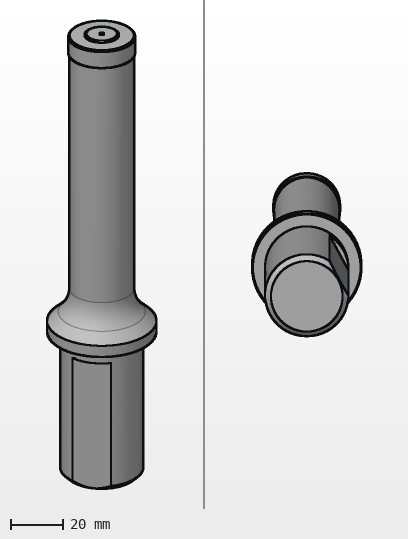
import cadquery as cq
import math

shank_diameter = 32.0
shank_radius = shank_diameter / 2
shank_chamfer = 2.3
flat_distance = 14.0
flat_top = 55.2

flange_diameter = 42.0
flange_radius = flange_diameter / 2
flange_bottom = 60.3
flange_chamfer = 0.4
flange_top = 65.4
neck_diameter = 25.0
neck_radius = neck_diameter / 2
flare_top = 79.5
flare_arc_radius = 14.4
flare_angle = math.radians(45)

total_height = 189.0
head_bottom = 180.7
head_diameter = 25.7
head_radius = head_diameter / 2
head_edge_chamfer = 0.5
boss_base_radius = 6.6
boss_top_radius = 5.9
boss_height = 0.5
face_drop = 0.2
centre_hole_radius = 1.0
centre_hole_depth = 0.2


def revolve_about_z(profile):
    """Turn a closed radius-height profile in the XZ plane around the Z axis."""
    return profile.close().revolve(360, (0, 0, 0), (0, 1, 0))


def make_holder():
    """Shank, flange, flare and neck in one turned piece with a flat on the shank."""
    def flare_point(angle):
        radius = neck_radius + flare_arc_radius * (1 - math.cos(angle))
        return radius, flare_top - flare_arc_radius * math.sin(angle)

    profile = (
        cq.Workplane("XZ")
        .lineTo(shank_radius - shank_chamfer, 0)
        .lineTo(shank_radius, shank_chamfer)
        .lineTo(shank_radius, flange_bottom)
        .lineTo(flange_radius - flange_chamfer, flange_bottom)
        .lineTo(flange_radius, flange_bottom + flange_chamfer)
        .lineTo(flange_radius, flange_top)
        .lineTo(*flare_point(flare_angle))
        .threePointArc(flare_point(flare_angle / 2), flare_point(0))
        .lineTo(neck_radius, head_bottom)
        .lineTo(0, head_bottom)
    )
    flat_cut = cq.Workplane("XY").box(
        shank_diameter, shank_radius, flat_top, centered=(True, False, False)
    ).translate((0, -flat_distance - shank_radius, 0))
    return revolve_about_z(profile).cut(flat_cut)


def make_head():
    """Disc with a chamfered rim, a gently sloping face, a low tapered boss and a shallow centre hole."""
    face_height = total_height - boss_height
    rim_height = face_height - face_drop
    profile = (
        cq.Workplane("XZ")
        .moveTo(0, head_bottom)
        .lineTo(head_radius, head_bottom)
        .lineTo(head_radius, rim_height - head_edge_chamfer)
        .lineTo(head_radius - head_edge_chamfer, rim_height)
        .lineTo(boss_base_radius, face_height)
        .lineTo(boss_top_radius, total_height)
        .lineTo(centre_hole_radius, total_height)
        .lineTo(centre_hole_radius, total_height - centre_hole_depth)
        .lineTo(0, total_height - centre_hole_depth)
    )
    return revolve_about_z(profile)


holder = make_holder()
head = make_head()
result = cq.Compound.makeCompound([holder.val(), head.val()])